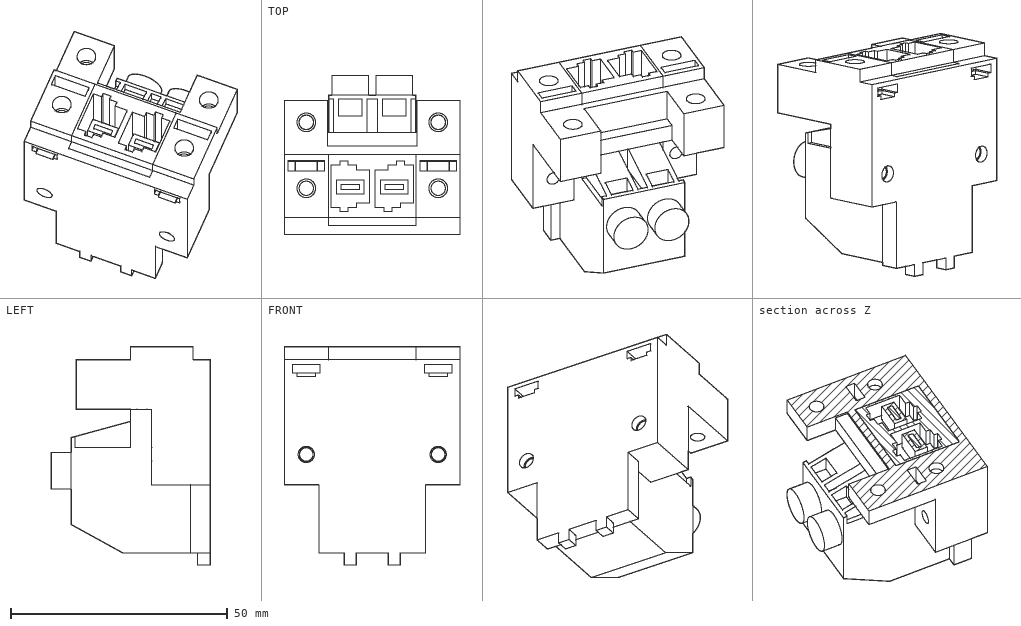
import cadquery as cq


housing_width = 40.64
front_depth = 13.6
block_bottom = 18.55
flange_bottom = 36.0
flange_top = 47.5
flange_depth = 31.0
raised_front = 4.0
raised_rear = 18.5
overall_height = 50.5
plate_width = 24.7
plate_thickness = 4.6
plate_bottom = 2.8
peg_width = 2.8
peg_depth = 3.0

notch_width = 20.6
notch_front = 20.5
shelf_rear = 23.6
shelf_height = 40.0

side_offset = 15.24
top_hole_y = 10.7
top_hole_pitch = 15.24
top_hole_diameter = 3.3
top_bore_diameter = 4.3
bore_depth = 6.0
blind_hole_depth = 12.0
front_hole_z = 25.6
front_hole_diameter = 3.1
front_bore_diameter = 3.75
front_bore_depth = 2.0
slot_front = 14.7
slot_rear = 16.9
slot_width = 8.4
slot_depth = 5.0
slot_opening_width = 5.0
slot_lead_in = 0.25
slot_lead_in_depth = 1.2
pocket_top = 46.4
pocket_floor = 44.4
pocket_width = 6.3
pocket_groove_width = 4.3
pocket_groove_depth = 0.85
pocket_depth = 5.0
pocket_groove_length = 4.0

channel_pitch = 10.16
channel_offsets = (-channel_pitch / 2, channel_pitch / 2)
module_width = 20.2
lip_front = 2.1
module_rear = 32.2
slope_top = 33.25
slope_bottom = 29.5
rear_chamfer_z = 9.4
rear_chamfer_y = 20.2
recess_rear = 31.3
recess_floor = 27.2
side_recess_width = 1.15
middle_recess_width = 2.4

jack_width = 8.87
jack_step_width = 5.85
jack_key_start = 2.05
jack_key_width = 1.9
jack_center_y = 11.13
jack_half_low = 3.8
jack_half_high = 4.9
jack_half_key = 5.85
jack_floor = 36.0

socket_width = 6.4
socket_center_y = 11.0
socket_depth = 3.2
socket_top = 44.8
contact_width = 4.35
contact_depth = 1.1
contact_height = 6.0

indicator_width = 5.4
indicator_front = 27.4
indicator_rear = recess_rear
indicator_thickness = 1.0

button_diameter = 8.5
button_z = 21.85
button_rear = 36.8


def box(x_center, width, y_range, z_range):
    """Block of the given width centred at x_center."""
    y_min, y_max = y_range
    z_min, z_max = z_range
    size = (width, y_max - y_min, z_max - z_min)
    return cq.Workplane().box(*size, centered=(True, False, False)).translate((x_center, y_min, z_min))


def cylinder(diameter, base, direction, length):
    """Cylinder from its base centre, with its seam towards -X."""
    plane = cq.Plane(origin=base, xDir=(-1, 0, 0), normal=direction)
    return cq.Workplane(plane).circle(diameter / 2).extrude(length)


def make_module_blank():
    """Side profile of the module, across its full width."""
    profile = [
        (plate_thickness, plate_bottom),
        (rear_chamfer_y, plate_bottom),
        (module_rear, rear_chamfer_z),
        (module_rear, slope_bottom),
        (raised_rear, slope_top),
        (raised_rear, overall_height),
        (raised_front, overall_height),
        (raised_front, flange_top),
        (lip_front, flange_top),
        (lip_front, flange_bottom),
        (plate_thickness, flange_bottom),
    ]
    return cq.Workplane("YZ").polyline(profile).close().extrude(module_width / 2, both=True)


def make_stepped_hole(bore_diameter, hole_diameter, entry, direction, bore_length, length):
    """Cutter for a hole with a wider bore at its entry."""
    bore = cylinder(bore_diameter, entry, direction, bore_length)
    return bore.union(cylinder(hole_diameter, entry, direction, length))


def make_slot(x):
    """Cutter for a vertical slot: wide at the top, narrower through the flange."""
    slot_floor = overall_height - slot_depth
    wide = box(x, slot_width, (slot_front, slot_rear), (slot_floor, overall_height))
    through = box(x, slot_opening_width, (slot_front, slot_rear), (flange_bottom, overall_height))
    lead_in = (
        cq.Workplane("YZ", origin=(x, 0, 0))
        .polyline([
            (slot_rear, overall_height - slot_lead_in_depth),
            (slot_rear + slot_lead_in, overall_height),
            (slot_rear, overall_height),
        ])
        .close()
        .extrude(slot_width / 2, both=True)
    )
    return wide.union(through).union(lead_in)


def make_front_pocket(x):
    """Cutter for a T-shaped pocket in the front wall."""
    pocket = box(x, pocket_width, (0, pocket_depth), (pocket_floor, pocket_top))
    groove_floor = pocket_floor - pocket_groove_depth
    groove = box(x, pocket_groove_width, (0, pocket_groove_length), (groove_floor, pocket_floor))
    return pocket.union(groove)


def make_housing():
    housing = box(0, housing_width, (0, front_depth), (block_bottom, flange_top))
    housing = housing.union(box(0, housing_width, (0, flange_depth), (flange_bottom, flange_top)))
    housing = housing.union(
        box(0, housing_width, (raised_front, raised_rear), (flange_bottom, overall_height))
    )
    housing = housing.union(box(0, plate_width, (0, plate_thickness), (plate_bottom, block_bottom)))
    for x in channel_offsets:
        housing = housing.union(box(x, peg_width, (0, peg_depth), (0, plate_bottom)))

    housing = housing.cut(make_module_blank())
    housing = housing.cut(box(0, notch_width, (notch_front, flange_depth), (shelf_height, flange_top)))
    housing = housing.cut(box(0, notch_width, (shelf_rear, flange_depth), (flange_bottom, flange_top)))

    for x in (-side_offset, side_offset):
        blind_hole = make_stepped_hole(
            top_bore_diameter, top_hole_diameter, (x, top_hole_y, overall_height),
            (0, 0, -1), bore_depth, blind_hole_depth,
        )
        rear_hole = make_stepped_hole(
            top_bore_diameter, top_hole_diameter, (x, top_hole_y + top_hole_pitch, flange_top),
            (0, 0, -1), bore_depth, flange_top - flange_bottom,
        )
        front_hole = make_stepped_hole(
            front_bore_diameter, front_hole_diameter, (x, 0, front_hole_z),
            (0, 1, 0), front_bore_depth, front_depth,
        )
        for cutter in (blind_hole, rear_hole, front_hole, make_slot(x), make_front_pocket(x)):
            housing = housing.cut(cutter)
    return housing


def make_jack_opening(x, rear_side):
    """Cutter for a stepped jack opening.

    The front edge has its taller part towards -X. The rear edge has it towards
    -X when rear_side is -1 and towards +X when rear_side is 1.
    """
    height = (jack_floor, overall_height)
    opening = box(x, jack_width, (jack_center_y - jack_half_low, jack_center_y + jack_half_low), height)
    step_offset = (jack_width - jack_step_width) / 2
    key_offset = jack_width / 2 - jack_key_start - jack_key_width / 2
    for x_side, y_side in ((-1, -1), (rear_side, 1)):
        for offset, width, reach in (
            (step_offset, jack_step_width, jack_half_high),
            (key_offset, jack_key_width, jack_half_key),
        ):
            y_range = sorted((jack_center_y, jack_center_y + y_side * reach))
            opening = opening.union(box(x + x_side * offset, width, y_range, height))
    return opening


def make_indicator(x):
    return box(
        x, indicator_width, (indicator_front, indicator_rear),
        (recess_floor - indicator_thickness, recess_floor),
    )


def make_module():
    module = make_module_blank()
    left, right = channel_offsets
    module = module.cut(make_jack_opening(left, -1))
    module = module.cut(make_jack_opening(right, 1))

    recess_y = (raised_rear, recess_rear)
    recess_z = (recess_floor, slope_top)
    side_recess_x = (module_width - side_recess_width) / 2
    module = module.cut(box(0, middle_recess_width, recess_y, recess_z))
    for x in (-side_recess_x, side_recess_x):
        module = module.cut(box(x, side_recess_width, recess_y, recess_z))

    for x in channel_offsets:
        window_z = (recess_floor - indicator_thickness, slope_top)
        module = module.cut(box(x, indicator_width, (indicator_front, indicator_rear), window_z))
    return module


def make_contact(x):
    y_range = (socket_center_y - contact_depth / 2, socket_center_y + contact_depth / 2)
    return box(x, contact_width, y_range, (socket_top - contact_height, socket_top))


def make_socket(x):
    """Block standing on the jack floor, with a slot that holds the contact."""
    y_range = (socket_center_y - socket_depth / 2, socket_center_y + socket_depth / 2)
    return box(x, socket_width, y_range, (jack_floor, socket_top)).cut(make_contact(x))


def make_button(x):
    return cylinder(button_diameter, (x, module_rear, button_z), (0, 1, 0), button_rear - module_rear)


bodies = [make_housing(), make_module()]
for channel_x in channel_offsets:
    for make_body in (make_socket, make_contact, make_indicator, make_button):
        bodies.append(make_body(channel_x))

result = cq.Compound.makeCompound([body.solids().val() for body in bodies])